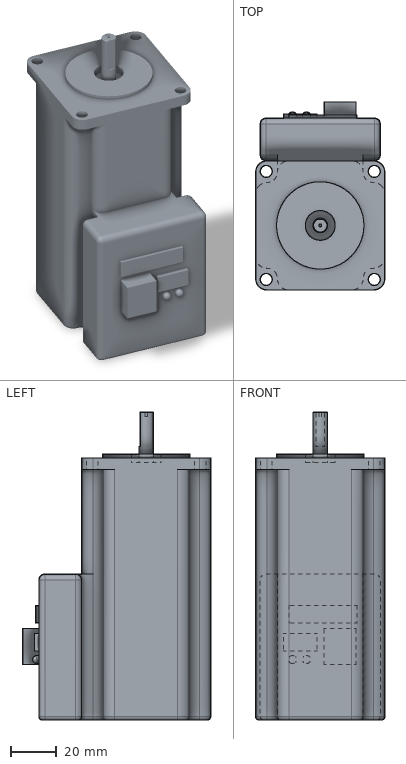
import cadquery as cq
import math


frame_width = 56.4
half_frame = frame_width / 2
hole_spacing = 47.14
hole_offset = hole_spacing / 2
hole_diameter = 5.1
flange_top = 114.4
flange_thickness = 5.0
flange_bottom = flange_top - flange_thickness
corner_radius = 5.0

channel_radius = 4.5
lobe_radius = corner_radius
channel_center = half_frame - lobe_radius
channel_edge = channel_center - channel_radius
bottom_round = 1.5

pilot_diameter = 38.1
pilot_height = 1.6
bore_diameter = 13.0
bore_depth = 3.7
shaft_diameter = 6.35
shaft_top = 134.4
shaft_chamfer = 0.25
flat_depth = 0.55
flat_length = 15.0
center_hole_diameter = 1.2
center_hole_depth = 2.0

box_width = 52.4
box_back = 46.8
box_height = 63.7
box_round = 2.6
neck_half_width = channel_edge

socket_back = 53.85
socket = ((1.7, 15.6), (24.2, 40.0), socket_back - box_back)
terminal_strip = ((-13.7, 16.0), (42.4, 49.9), 1.4)
switch_block = ((-16.0, -1.4), (30.1, 37.8), 1.85)
lamp_positions = (-12.1, -6.0)
lamp_z = 26.4
lamp_radius = 1.75
lamp_straight_height = 0.95


def make_flange():
    plate = (
        cq.Workplane("XY")
        .workplane(offset=flange_bottom)
        .rect(frame_width, frame_width)
        .extrude(flange_thickness)
        .edges("|Z")
        .fillet(corner_radius)
    )
    pilot = cq.Workplane("XY").workplane(offset=flange_top).circle(pilot_diameter / 2).extrude(pilot_height)
    return plate.union(pilot)


def cut_flange_holes(solid):
    holes = (
        cq.Workplane("XY")
        .workplane(offset=flange_bottom)
        .rect(hole_spacing, hole_spacing, forConstruction=True)
        .vertices()
        .circle(hole_diameter / 2)
        .extrude(flange_thickness)
    )
    return solid.cut(holes)


def rotate_quarters(point, quarters):
    x, y = point
    for _ in range(quarters):
        x, y = -y, x
    return (x, y)


def make_body():
    diagonal = math.sqrt(0.5)
    lobe_start = channel_edge - lobe_radius
    lobe_mid = lobe_start + lobe_radius * diagonal
    lobe_mid_out = channel_center + lobe_radius * diagonal
    channel_mid = channel_center - channel_radius * diagonal

    corner = [
        (half_frame, lobe_start),
        (lobe_mid_out, lobe_mid),
        (channel_center, channel_edge),
        (channel_mid, channel_mid),
        (channel_edge, channel_center),
        (lobe_mid, lobe_mid_out),
        (lobe_start, half_frame),
    ]
    outline = cq.Workplane("XY").moveTo(half_frame, -lobe_start)
    for quarter in range(4):
        points = [rotate_quarters(point, quarter) for point in corner]
        outline = outline.lineTo(*points[0])
        for middle, end in ((1, 2), (3, 4), (5, 6)):
            outline = outline.threePointArc(points[middle], points[end])
    return outline.close().extrude(flange_bottom)


def block(x_range, y_range, z_range):
    size = [high - low for low, high in (x_range, y_range, z_range)]
    corner = cq.Vector(x_range[0], y_range[0], z_range[0])
    return cq.Workplane("XY").box(*size, centered=False).translate(corner)


def make_box():
    half_width = box_width / 2
    housing = block((-half_width, half_width), (half_frame, box_back), (0, box_height))
    housing = housing.edges("|Z or >Z").fillet(box_round)
    neck = block(
        (-neck_half_width, neck_half_width),
        (channel_center, half_frame + box_round),
        (0, box_height),
    )
    return housing.union(neck)


def make_driver_details():
    details = cq.Workplane("XY")
    for x_range, z_range, height in (socket, terminal_strip, switch_block):
        details = details.union(block(x_range, (box_back, box_back + height), z_range))
    for x in lamp_positions:
        details = details.union(make_lamp(x))
    return details


def make_lamp(x):
    dome_center = (x, box_back + lamp_straight_height, lamp_z)
    stem = cq.Workplane("XZ", origin=dome_center).circle(lamp_radius).extrude(lamp_straight_height)
    dome = cq.Workplane("XY").sphere(lamp_radius).translate(dome_center)
    return stem.union(dome)


def cut_bore(solid):
    bore_floor = flange_top + pilot_height - bore_depth
    bore = cq.Workplane("XY").workplane(offset=bore_floor).circle(bore_diameter / 2).extrude(bore_depth)
    return solid.cut(bore)


def make_shaft():
    radius = shaft_diameter / 2
    shaft = (
        cq.Workplane("XY")
        .workplane(offset=flange_bottom)
        .circle(radius)
        .extrude(shaft_top - flange_bottom)
        .faces(">Z")
        .chamfer(shaft_chamfer)
    )
    flat = block((-radius, radius), (radius - flat_depth, radius), (shaft_top - flat_length, shaft_top))
    center_hole = (
        cq.Workplane("XY")
        .workplane(offset=shaft_top - center_hole_depth)
        .circle(center_hole_diameter / 2)
        .extrude(center_hole_depth)
    )
    return shaft.cut(flat).cut(center_hole)


housing = make_body().union(make_box()).faces("<Z").edges().fillet(bottom_round)
housing = cut_flange_holes(housing.union(make_flange()))
result = cut_bore(housing).union(make_shaft()).union(make_driver_details())